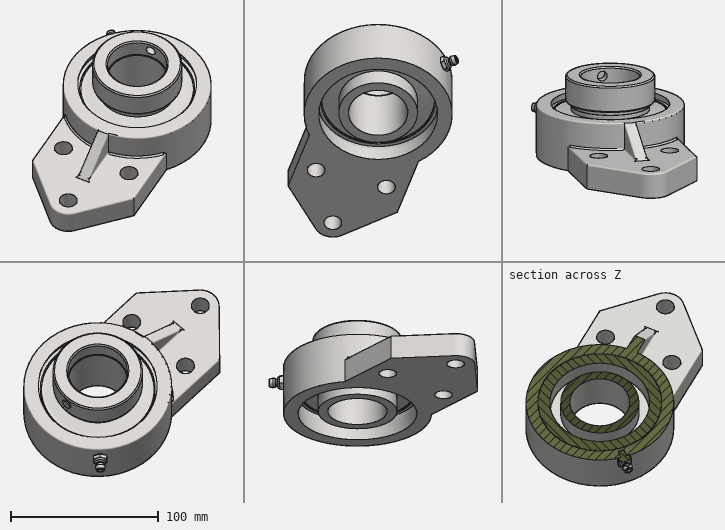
import cadquery as cq
import math

housing_radius = 50.0
housing_height = 35.6
housing_edge_fillet = 1.0
plate_half_width = 38.7
plate_thickness = 17.0
plate_shoulder_y = -79.2
plate_edge_fillet = 1.1
root_fillet = 1.1
tip_hole_y = -101.2
tip_radius = 12.8
bolt_hole_diameter = 12.0
bolt_hole_x = 25.0
bolt_hole_y = -60.0
rib_width = 8.2
rib_end_y = -79.9
rib_edge_fillet = 1.1

seat_diameter = 84.1
housing_bore_diameter = 80.2
shaft_diameter = 40.0
outer_ring_width = 16.4
outer_ring_bore = 67.0
inner_ring_diameter = 53.1
inner_ring_bottom_z = 1.6
neck_diameter = 52.3
neck_bottom_z = 34.8
stub_diameter = 48.7
stub_length = 5.4
stub_mouth_chamfer = 0.5
seal_diameter = 76.1
seal_cone_diameter = 70.4
seal_thickness = 1.6
seal_rise = 0.8
seal_recess = 0.2
ring_mouth_chamfer = 0.8

collar_diameter = 60.4
collar_bottom_z = 37.5
collar_top_z = 56.0
collar_edge_chamfer = 1.0
shaft_edge_chamfer = 1.0
screw_diameter = 6.7
screw_z = 49.5
screw_outer_y = 31.2
screw_length = 5.0

nipple_angle = 135
nipple_z = 25.1
hex_across_flats = 9.0
hex_start = 49.7
hex_end = 52.5
shank_diameter = 6.7
shank_start = 44.3
hex_cone_radius = 3.8
hex_cone_end = 53.6
neck_radius = 2.5
neck_start = 54.5
neck_end = 55.3
head_back_radius = 3.03
head_back = 55.6
head_radius = 3.36
head_station = 57.0
nose_radius = 2.8
nose_station = 59.5
tip_face_radius = 2.3
tip_station = 59.9
grease_hole_diameter = 2.5
grease_hole_depth = 1.6

seat_radius = seat_diameter / 2
seat_z = housing_height - math.sqrt(seat_radius**2 - (housing_bore_diameter / 2) ** 2)
ring_top_z = seat_z + outer_ring_width / 2
ring_bottom_z = seat_z - outer_ring_width / 2
seal_pocket_depth = seal_recess + seal_thickness

inner_edge = cq.selectors.RadiusNthSelector(0)


def cylinder(diameter, bottom_z, top_z):
    return cq.Workplane("XY").workplane(offset=bottom_z).circle(diameter / 2).extrude(top_z - bottom_z)


def sphere_at_seat():
    return cq.Workplane("XY").sphere(seat_radius).translate((0, 0, seat_z))


def tip_tangent_point():
    """Point where the tapered side from the right shoulder touches the rounded tip."""
    dx = plate_half_width
    dy = plate_shoulder_y - tip_hole_y
    angle = math.atan2(dy, dx) - math.acos(tip_radius / math.hypot(dx, dy))
    return tip_radius * math.cos(angle), tip_hole_y + tip_radius * math.sin(angle)


def make_plate():
    tangent_x, tangent_y = tip_tangent_point()
    outline = (
        cq.Workplane("XY")
        .moveTo(plate_half_width, 0)
        .lineTo(plate_half_width, plate_shoulder_y)
        .lineTo(tangent_x, tangent_y)
        .threePointArc((0, tip_hole_y - tip_radius), (-tangent_x, tangent_y))
        .lineTo(-plate_half_width, plate_shoulder_y)
        .lineTo(-plate_half_width, 0)
        .close()
    )
    outer_edges = cq.selectors.BoxSelector(
        (-plate_half_width - 1.6, tip_hole_y - tip_radius - 1.6, plate_thickness - 1.6),
        (plate_half_width + 1.6, -1.6, plate_thickness + 1.6),
    )
    return outline.extrude(plate_thickness).edges(outer_edges).fillet(plate_edge_fillet)


def rib_wedge(width):
    return (
        cq.Workplane("YZ")
        .moveTo(0, 0)
        .lineTo(0, housing_height)
        .lineTo(-housing_radius, housing_height)
        .lineTo(rib_end_y, plate_thickness)
        .lineTo(rib_end_y, 0)
        .close()
        .extrude(width / 2, both=True)
    )


def make_rib_root():
    """Concave flare along both sides of the rib, cut off by the slope of the rib."""
    inner_x = rib_width / 2
    outer_x = inner_x + root_fillet
    top_z = plate_thickness + root_fillet
    arc_x = outer_x - root_fillet * math.sin(math.pi / 4)
    arc_z = top_z - root_fillet * math.sin(math.pi / 4)
    flare = (
        cq.Workplane("XZ")
        .moveTo(-outer_x, plate_thickness)
        .lineTo(outer_x, plate_thickness)
        .threePointArc((arc_x, arc_z), (inner_x, top_z))
        .lineTo(-inner_x, top_z)
        .threePointArc((-arc_x, arc_z), (-outer_x, plate_thickness))
        .close()
        .extrude(-rib_end_y)
    )
    return flare.intersect(rib_wedge(2 * outer_x))


def make_rib():
    """Sloping rib from the rim of the drum down to the plate."""
    rib = rib_wedge(rib_width)
    slope_middle_y = (rib_end_y - housing_radius) / 2
    slope_middle_z = (housing_height + plate_thickness) / 2
    slope_edges = cq.selectors.BoxSelector(
        (-rib_width, slope_middle_y - 1.6, slope_middle_z - 1.6),
        (rib_width, slope_middle_y + 1.6, slope_middle_z + 1.6),
    )
    return rib.edges(slope_edges).fillet(rib_edge_fillet).union(make_rib_root())


def make_drum_root():
    """Concave fillet between the drum and the top of the plate."""
    outer_r = housing_radius + root_fillet
    top_z = plate_thickness + root_fillet
    arc_r = outer_r - root_fillet * math.sin(math.pi / 4)
    arc_z = top_z - root_fillet * math.sin(math.pi / 4)
    ring = (
        cq.Workplane("XZ")
        .moveTo(0, plate_thickness)
        .lineTo(outer_r, plate_thickness)
        .threePointArc((arc_r, arc_z), (housing_radius, top_z))
        .lineTo(0, top_z)
        .close()
        .revolve(360, (0, 0, 0), (0, 1, 0))
    )
    clip_half_width = plate_half_width - plate_edge_fillet
    above_plate = (
        cq.Workplane("XY", origin=(0, -housing_radius, 0))
        .rect(2 * clip_half_width, 2 * housing_radius)
        .extrude(housing_height)
    )
    return ring.intersect(above_plate)


def make_housing():
    drum = cylinder(2 * housing_radius, 0, housing_height).faces(">Z").edges().fillet(housing_edge_fillet)
    body = drum.union(make_plate()).union(make_drum_root()).union(make_rib())
    seat = sphere_at_seat().union(cylinder(housing_bore_diameter, 0, seat_z))
    bolt_holes = (
        cq.Workplane("XY")
        .pushPoints([(-bolt_hole_x, bolt_hole_y), (bolt_hole_x, bolt_hole_y), (0, tip_hole_y)])
        .circle(bolt_hole_diameter / 2)
        .extrude(plate_thickness)
    )
    return body.cut(seat).cut(bolt_holes)


def make_outer_ring():
    ring = sphere_at_seat().intersect(cylinder(seat_diameter, ring_bottom_z, ring_top_z))
    ring = ring.cut(cylinder(outer_ring_bore, ring_bottom_z, ring_top_z))
    ring = ring.cut(cylinder(seal_diameter, ring_top_z - seal_pocket_depth, ring_top_z))
    ring = ring.cut(cylinder(seal_diameter, ring_bottom_z, ring_bottom_z + seal_pocket_depth))
    return ring.faces(">Z or <Z").edges(inner_edge).chamfer(ring_mouth_chamfer)


def make_inner_ring():
    ring = cylinder(inner_ring_diameter, inner_ring_bottom_z, neck_bottom_z)
    neck = cylinder(neck_diameter, neck_bottom_z, collar_bottom_z)
    stub = cylinder(stub_diameter, collar_bottom_z, collar_bottom_z + stub_length)
    bore = cylinder(shaft_diameter, inner_ring_bottom_z, collar_bottom_z + stub_length)
    ring = ring.union(neck).union(stub).cut(bore)
    return ring.faces(">Z").edges(inner_edge).chamfer(stub_mouth_chamfer)


def make_seal():
    """Upper seal: flat rim and a shallow cone rising to the inner ring."""
    rim_z = ring_top_z - seal_recess
    bottom_z = rim_z - seal_thickness
    return (
        cq.Workplane("XZ")
        .moveTo(inner_ring_diameter / 2, bottom_z)
        .lineTo(seal_diameter / 2, bottom_z)
        .lineTo(seal_diameter / 2, rim_z)
        .lineTo(seal_cone_diameter / 2, rim_z)
        .lineTo(inner_ring_diameter / 2, rim_z + seal_rise)
        .close()
        .revolve(360, (0, 0, 0), (0, 1, 0))
    )


def make_set_screw():
    return (
        cq.Workplane("XZ", origin=(0, screw_outer_y, screw_z))
        .circle(screw_diameter / 2)
        .extrude(screw_length)
    )


def make_collar():
    collar = cylinder(collar_diameter, collar_bottom_z, collar_top_z).edges().chamfer(collar_edge_chamfer)
    collar = collar.cut(cylinder(shaft_diameter, collar_bottom_z, collar_top_z))
    collar = collar.faces(">Z").edges(inner_edge).chamfer(shaft_edge_chamfer)
    collar = collar.cut(cylinder(stub_diameter, collar_bottom_z, collar_bottom_z + stub_length))
    screw_hole = (
        cq.Workplane("XZ", origin=(0, screw_outer_y, screw_z))
        .circle(screw_diameter / 2)
        .extrude(screw_outer_y)
    )
    return collar.cut(screw_hole)


def make_nipple():
    """Nipple modelled along +X, then lifted and turned to its place."""
    turned = (
        cq.Workplane("XZ")
        .moveTo(shank_start, 0)
        .lineTo(shank_start, shank_diameter / 2)
        .lineTo(hex_start, shank_diameter / 2)
        .lineTo(hex_start, hex_across_flats / 2)
        .lineTo(hex_end, hex_across_flats / 2)
        .lineTo(hex_cone_end, hex_cone_radius)
        .lineTo(neck_start, neck_radius)
        .lineTo(neck_end, neck_radius)
        .lineTo(head_back, head_back_radius)
        .lineTo(head_station, head_radius)
        .lineTo(nose_station, nose_radius)
        .lineTo(tip_station, tip_face_radius)
        .lineTo(tip_station, 0)
        .close()
        .revolve(360, (0, 0, 0), (1, 0, 0))
    )
    hexagon = (
        cq.Workplane("YZ", origin=(hex_start, 0, 0))
        .polygon(6, hex_across_flats, circumscribed=True)
        .extrude(hex_end - hex_start)
    )
    grease_hole = (
        cq.Workplane("YZ", origin=(tip_station, 0, 0))
        .circle(grease_hole_diameter / 2)
        .extrude(-grease_hole_depth)
    )
    nipple = turned.union(hexagon).cut(grease_hole)
    return nipple.translate((0, 0, nipple_z)).rotate((0, 0, 0), (0, 0, 1), nipple_angle)


nipple = make_nipple()
housing = make_housing().cut(nipple)
outer_ring = make_outer_ring()
inner_ring = make_inner_ring()
upper_seal = make_seal()
lower_seal = upper_seal.rotate((0, 0, seat_z), (1, 0, seat_z), 180)
collar = make_collar()
set_screw = make_set_screw()

bodies = [housing, outer_ring, inner_ring, upper_seal, lower_seal, collar, set_screw, nipple]
result = cq.Compound.makeCompound([body.val() for body in bodies])